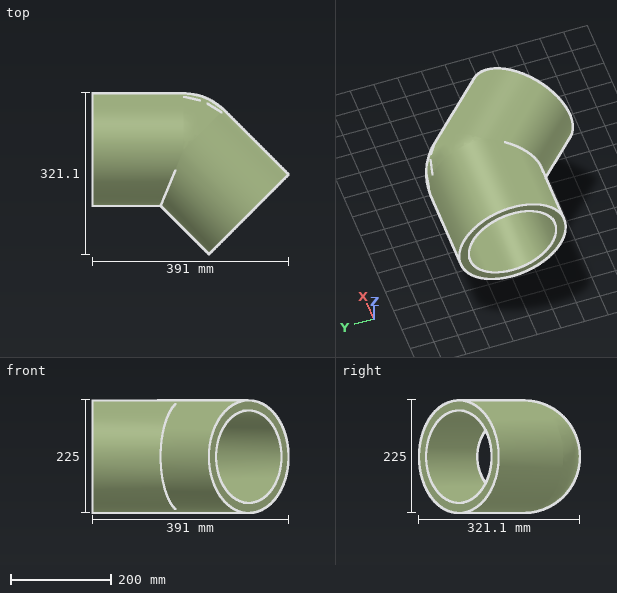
import cadquery as cq
import math

outer_diameter = 225.0
wall = 20.5
bend_angle = 45.0
overall_length = 391.0

outer_radius = outer_diameter / 2
inner_radius = outer_radius - wall

bend = math.radians(bend_angle)
leg_length = (overall_length - outer_radius * math.sin(bend)) / (1 + math.cos(bend))


def leg(radius, direction):
    """Cylinder running from the bend centre to the open end of a leg."""
    return cq.Workplane(cq.Solid.makeCylinder(radius, leg_length, cq.Vector(0, 0, 0), direction))


def corner(radius):
    """Wedge of a sphere filling the outside of the bend between the legs."""
    half_disc = (
        cq.Workplane("YZ")
        .moveTo(0, -radius)
        .threePointArc((radius, 0), (0, radius))
        .close()
    )
    return half_disc.revolve(bend_angle, (0, radius), (0, -radius))


def elbow(radius):
    """Solid elbow of the given radius, with its bend centre at the origin."""
    first_leg = leg(radius, cq.Vector(-1, 0, 0))
    second_leg = leg(radius, cq.Vector(math.cos(bend), -math.sin(bend), 0))
    return first_leg.union(second_leg).union(corner(radius))


result = elbow(outer_radius).cut(elbow(inner_radius))